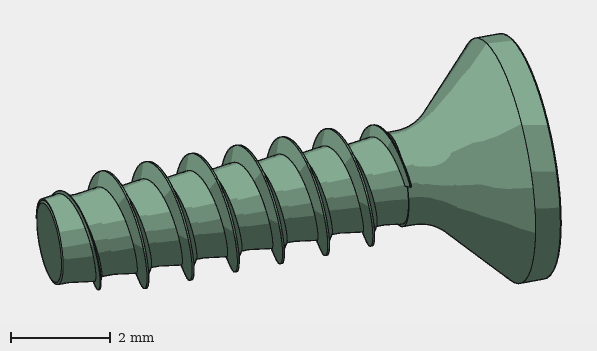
import cadquery as cq
import math

length = 10.0
head_radius = 2.5
head_rim_height = 0.55
rim_chamfer = 0.03
neck_radius = 0.96
neck_end = 2.72
neck_fillet = 1.0
root_radius = 0.86
tip_cone_height = 0.02
tip_face_radius = 0.81
tip_edge_height = 0.02
shank_end = length - tip_cone_height - tip_edge_height

pitch = 0.95
thread_origin = 2.63
crest_radius = 1.25
crest_half_width = 0.02
flank_kink_radius = 1.01
flank_kink_offset = -0.09
head_side_base = -0.19
tip_side_base = 0.13
ridge_foot_radius = 0.8

land_high_radius = 0.92
land_end = 0.59
land_overrun = 0.12
land_foot_radius = 0.73

ridge_start = 0.07
lead_in_end = 1.0
run_out_start = 6.25
ridge_end = 7.5
land_start = -0.9
land_piece_turns = 1.05
land_pieces = 8
start_height = 0.6
end_height = 0.1
points_per_turn = 12


def make_body():
    """Revolve the head, the filleted neck and the plain root core."""
    slope = math.radians(45)
    cone_end_radius = neck_radius + neck_fillet * (1 - math.cos(slope))
    cone_end = head_rim_height + head_radius - cone_end_radius
    fillet_end = cone_end + neck_fillet * math.sin(slope)
    half_slope = slope / 2
    fillet_mid = (
        neck_radius + neck_fillet * (1 - math.cos(half_slope)),
        -(fillet_end - neck_fillet * math.sin(half_slope)),
    )
    return (
        cq.Workplane("XY")
        .lineTo(head_radius - rim_chamfer, 0)
        .lineTo(head_radius, -rim_chamfer)
        .lineTo(head_radius, -head_rim_height)
        .lineTo(cone_end_radius, -cone_end)
        .threePointArc(fillet_mid, (neck_radius, -fillet_end))
        .lineTo(neck_radius, -neck_end)
        .lineTo(root_radius, -neck_end)
        .lineTo(root_radius, -shank_end)
        .lineTo(tip_face_radius, -(length - tip_cone_height))
        .lineTo(0, -length)
        .close()
        .revolve(360, (0, 0, 0), (0, 1, 0))
        .val()
    )


def helix_point(turn, offset, radius):
    """Point on the thread; offset is the distance towards the tip from the crest."""
    angle = 2 * math.pi * turn
    depth = thread_origin + pitch * turn + offset
    return cq.Vector(radius * math.cos(angle), -depth, radius * math.sin(angle))


def helical_solid(profile_start, profile_end, turn_start, turn_end):
    """Carry a closed (offset, radius) profile along the helix, changing it linearly."""
    steps = math.ceil(points_per_turn * (turn_end - turn_start))
    edges = []
    for (offset_a, radius_a), (offset_b, radius_b) in zip(profile_start, profile_end):
        points = []
        for step in range(steps + 1):
            share = step / steps
            turn = turn_start + share * (turn_end - turn_start)
            offset = offset_a + share * (offset_b - offset_a)
            radius = radius_a + share * (radius_b - radius_a)
            points.append(helix_point(turn, offset, radius))
        edges.append(cq.Edge.makeSpline(points))

    faces = [cq.Face.makeRuledSurface(a, b) for a, b in zip(edges, edges[1:] + edges[:1])]
    for profile, turn in ((profile_start, turn_start), (profile_end, turn_end)):
        corners = [helix_point(turn, offset, radius) for offset, radius in profile]
        faces.append(cq.Face.makeFromWires(cq.Wire.makePolygon(corners, close=True)))
    solid = cq.Solid.makeSolid(cq.Shell.makeShell(faces))
    return solid.fix()


def ridge_profile(height):
    """Ridge section, lowered and narrowed about its crest line when height is below 1."""
    head_flank_run = (flank_kink_offset - head_side_base) / (flank_kink_radius - root_radius)
    tip_flank_run = (tip_side_base - crest_half_width) / (crest_radius - land_high_radius)
    full_section = [
        (head_side_base - head_flank_run * (root_radius - ridge_foot_radius), ridge_foot_radius),
        (flank_kink_offset, flank_kink_radius),
        (-crest_half_width, crest_radius),
        (crest_half_width, crest_radius),
        (tip_side_base + tip_flank_run * (land_high_radius - ridge_foot_radius), ridge_foot_radius),
    ]
    section = []
    for offset, radius in full_section:
        rise = max(radius - land_high_radius, 0)
        lowered_radius = radius - rise * (1 - height)
        section.append((offset * height, lowered_radius))
    return section


def make_land():
    """Sloping land between the ridges, built in short pieces from under the neck to the tip."""
    fall = (land_high_radius - root_radius) / (land_end - tip_side_base)
    section = [
        (0, land_high_radius + fall * tip_side_base),
        (land_end + land_overrun, root_radius - fall * land_overrun),
        (land_end + land_overrun, land_foot_radius),
        (0, land_foot_radius),
    ]
    tip_space = cq.Solid.makeCylinder(
        head_radius, length, cq.Vector(0, -shank_end, 0), cq.Vector(0, -1, 0)
    )
    pieces = []
    for index in range(land_pieces):
        start = land_start + index * land_piece_turns
        piece = helical_solid(section, section, start, start + land_piece_turns)
        pieces.append(piece.cut(tip_space))
    return pieces


def make_ridges():
    """Growing lead-in, full thread and fading run-out."""
    full = ridge_profile(1)
    return [
        helical_solid(ridge_profile(start_height), full, ridge_start, lead_in_end),
        helical_solid(full, full, lead_in_end, run_out_start),
        helical_solid(full, ridge_profile(end_height), run_out_start, ridge_end),
    ]


screw = make_body()
for piece in make_land() + make_ridges():
    screw = screw.fuse(piece)
result = cq.Workplane(screw)